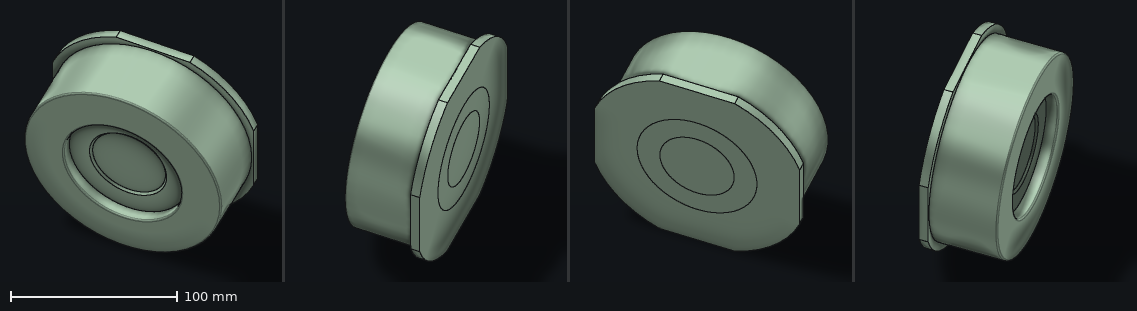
import cadquery as cq

total_depth = 50.0
flange_width = 133.3
flange_diameter = 142.0
flange_thickness = 6.0
barrel_diameter = 130.6
barrel_edge_radius = 1.0
bore_diameter = 77.8
bore_edge_radius = 1.0
ring_recess = 8.0
ring_hole_diameter = 48.3
ring_mouth_diameter = 51.0
plug_recess = 1.5

plug_front = ring_recess + plug_recess


def disc(diameter, front, back):
    """Round disc on the part axis between two depths behind the front face."""
    return cq.Workplane("XZ", origin=(0, front, 0)).circle(diameter / 2).extrude(front - back)


def make_flange():
    """Round flange trimmed by four flats."""
    flange_front = total_depth - flange_thickness
    round_plate = disc(flange_diameter, flange_front, total_depth)
    square_plate = (
        cq.Workplane("XZ", origin=(0, flange_front, 0))
        .rect(flange_width, flange_width)
        .extrude(-flange_thickness)
    )
    return round_plate.intersect(square_plate)


def make_housing():
    """Flanged barrel with a straight through bore and rounded front edges."""
    barrel = disc(barrel_diameter, 0, total_depth).faces("<Y").edges().fillet(barrel_edge_radius)
    solid = barrel.union(make_flange())
    bored = solid.cut(disc(bore_diameter, 0, total_depth))
    bore_mouth = cq.selectors.RadiusNthSelector(0)
    return bored.faces("<Y").edges(bore_mouth).fillet(bore_edge_radius)


def make_ring():
    """Ring filling the bore behind the recess, its hole opening through a tapered mouth."""
    half_section = [
        (bore_diameter / 2, ring_recess),
        (bore_diameter / 2, total_depth),
        (ring_hole_diameter / 2, total_depth),
        (ring_hole_diameter / 2, plug_front),
        (ring_mouth_diameter / 2, ring_recess),
    ]
    return cq.Workplane("XY").polyline(half_section).close().revolve(360, (0, 0), (0, 1))


def make_plug():
    """Flat plug filling the hole of the ring behind its tapered mouth."""
    return disc(ring_hole_diameter, plug_front, total_depth)


housing = make_housing()
ring = make_ring()
plug = make_plug()

result = cq.Compound.makeCompound([housing.val(), ring.val(), plug.val()])